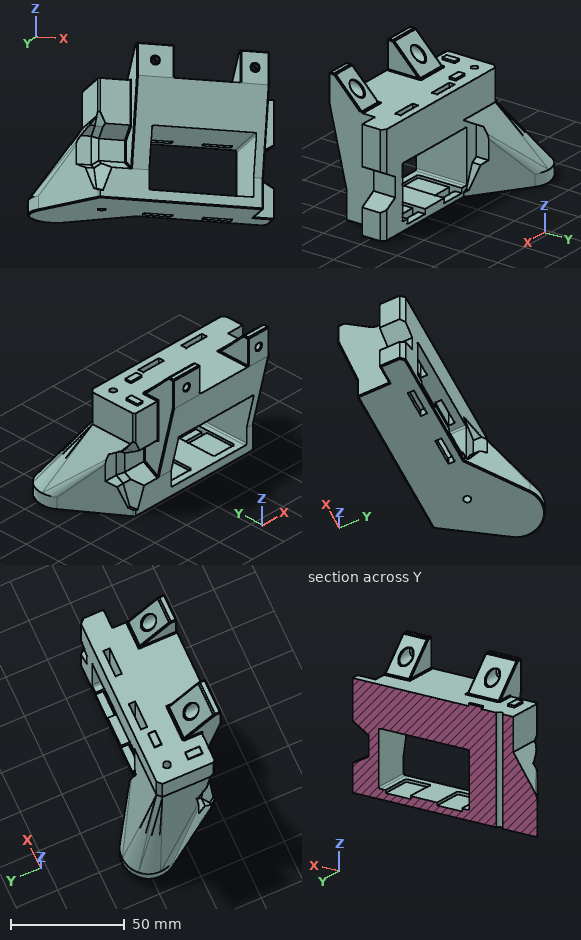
import cadquery as cq
import math

BLOCK_HEIGHT = 54.2
BLOCK_DEPTH = 27.5
FRONT_CORNER = 1.0
BACK_CORNER = 2.0
BRACKET_LEFT = 15.0
BRACKET_RIGHT = 75.5
TAB_RIGHT = 84.88
TAB_FRONT = 15.7
BOTTOM_CHAMFER = 0.5

BRACKET_FRONT = -9.4
BRACKET_FOOT_Z = 14.2
BRACKET_ROOT_Y = 12.0
BRACKET_CHAMFER = 0.5
LUG_TOP = 69.1
LUG_TOP_THICKNESS = 3.2
LUG_FLAT_BACK = BRACKET_FRONT + LUG_TOP_THICKNESS
LUG_ROOT_Y = LUG_FLAT_BACK + LUG_TOP - BLOCK_HEIGHT
LUG_SPANS = ((BRACKET_LEFT, 32.0), (62.3, BRACKET_RIGHT))
ROOT_FLARE = 0.5
LUG_HOLE_XS = (23.35, 68.9)
LUG_HOLE_Z = 61.55
LUG_HOLE_D = 3.4
LUG_COUNTERSINK_D = 4.23
LUG_COUNTERBORE_D = 6.2
COUNTERBORE_RIM = 0.4

NOSE_LEFT = -21.2
NOSE_RADIUS = 12.65
NOSE_BACK = 48.77
NOSE_RIM_Z = 6.7
NOSE_TOP_Z = 37.5
NOSE_RIGHT = 25.6

NOTCH_DEPTH = 8.4
NOTCH_INNER_LOW = 18.9
NOTCH_INNER_HIGH = 28.9
NOTCH_SLOPE = math.tan(math.radians(30))
NOTCH_MOUTH_LOW = NOTCH_INNER_LOW - NOTCH_DEPTH * NOTCH_SLOPE
NOTCH_MOUTH_HIGH = NOTCH_INNER_HIGH + NOTCH_DEPTH * NOTCH_SLOPE

CORNER_GROWTH = 2.65
CORNER_FLOOR_Y = 6.8
CORNER_FLOOR_DRIFT = 0.77
CORNER_STEP_Y = 2.8
CORNER_STEP_DRIFT = 1.3
CORNER_CEILING_Y = 5.2
CORNER_CEILING_DRIFT = 1.28
CORNER_STEEP = 2.55
CORNER_UPPER_STEEP = 1.33
CORNER_STEP_SLOPE = 0.5
CORNER_TAPER_END = 6.6

RELIEF_LEFT = 16.2
RELIEF_LOW = 16.4
RELIEF_HIGH = 31.9
RELIEF_LEDGE_X = 19.2
RELIEF_STEP_X = 23.6
RELIEF_LEDGE_Z = RELIEF_LOW - (RELIEF_LEDGE_X - RELIEF_LEFT) * NOTCH_SLOPE
RELIEF_STEP_Z = RELIEF_LEDGE_Z - (RELIEF_STEP_X - RELIEF_LEDGE_X) * CORNER_STEEP
RELIEF_FOOT_Z = RELIEF_STEP_Z - (NOSE_RIGHT - RELIEF_STEP_X) * CORNER_STEP_SLOPE
RELIEF_PEAK_Z = RELIEF_HIGH + (NOSE_RIGHT - RELIEF_LEFT) * NOTCH_SLOPE

WINDOW_LEFT = 23.35
WINDOW_RIGHT = 71.0
WINDOW_LOW = 5.2
WINDOW_HIGH = 33.3
WINDOW_RADIUS = 0.8

SLOT_LENGTH = 13.0
SLOT_SPACING = 27.2
FIRST_SLOT_X = (WINDOW_LEFT + WINDOW_RIGHT - SLOT_SPACING - SLOT_LENGTH) / 2
SLOT_XS = (FIRST_SLOT_X, FIRST_SLOT_X + SLOT_SPACING)
SLOT_FRONT = 20.7
SLOT_BACK = 23.7
RECESS_FRONT = 3.75
RECESS_DEPTH = 1.4
RECESS_RADIUS = 0.8
STRAP_EXIT_DEPTH = 2.45

PIN_X = 7.37
PIN_Y = 20.05
PIN_HOLE_D = 3.4
PEG_LENGTH = 6.85
PEG_WIDTH = 3.35
PEG_HEIGHT = 0.95
BACK_PEG_X = 20.3
FRONT_PEG_Y = 7.1

FAR = 200.0
MARGIN = 0.1
OPEN_FRONT_Y = 2 * BRACKET_FRONT


def box(x0, x1, y0, y1, z0, z1):
    return cq.Workplane("XY").box(x1 - x0, y1 - y0, z1 - z0, centered=False).translate((x0, y0, z0))


def prism_x(profile, x0, x1):
    """Extrude a (y, z) profile from x0 to x1."""
    return cq.Workplane("YZ", origin=(x0, 0, 0)).polyline(profile).close().extrude(x1 - x0)


def prism_y(profile, y0, y1):
    """Extrude an (x, z) profile from y0 to y1."""
    return cq.Workplane("XZ", origin=(0, y0, 0)).polyline(profile).close().extrude(y0 - y1)


def flat_face(*points):
    """Planar face bounded by straight lines through the points."""
    return cq.Face.makeFromWires(cq.Wire.makePolygon([cq.Vector(p) for p in points], close=True))


def make_block():
    outline = [
        (FRONT_CORNER, 0),
        (BRACKET_RIGHT - BRACKET_CHAMFER, 0),
        (BRACKET_RIGHT, BRACKET_CHAMFER),
        (BRACKET_RIGHT, TAB_FRONT),
        (TAB_RIGHT, TAB_FRONT),
        (TAB_RIGHT, BLOCK_DEPTH - BACK_CORNER),
        (TAB_RIGHT - BACK_CORNER, BLOCK_DEPTH),
        (BACK_CORNER, BLOCK_DEPTH),
        (0, BLOCK_DEPTH - BACK_CORNER),
        (0, FRONT_CORNER),
    ]
    return cq.Workplane("XY").polyline(outline).close().extrude(BLOCK_HEIGHT)


def make_nose():
    """Convex hull of a low round disc and the left end of the block."""
    cx = NOSE_LEFT + NOSE_RADIUS
    cy = NOSE_BACK - NOSE_RADIUS
    corners = [
        (0, FRONT_CORNER),
        (0, BLOCK_DEPTH - BACK_CORNER),
        (BACK_CORNER, BLOCK_DEPTH),
        (NOSE_RIGHT, BLOCK_DEPTH),
    ]

    def tangent_angle(corner, side):
        """Angle, seen from the disc centre, of the tangent point of a line through a corner."""
        dx = corner[0] - cx
        dy = corner[1] - cy
        return math.atan2(dy, dx) + side * math.acos(NOSE_RADIUS / math.hypot(dx, dy))

    def on_disc(angle):
        x = cx + NOSE_RADIUS * math.cos(angle)
        y = cy + NOSE_RADIUS * math.sin(angle)
        return (x, y, NOSE_RIM_Z)

    front = tangent_angle(corners[0], -1) % (2 * math.pi)
    back = tangent_angle(corners[-1], 1)
    touch = [front, math.pi, math.radians(135), math.radians(90), back]

    tops = [(x, y, NOSE_TOP_Z) for x, y in corners]
    rims = [(x, y, NOSE_RIM_Z) for x, y in corners]
    arcs = []
    faces = []
    for start, end, top in zip(touch, touch[1:], tops):
        arc_points = [cq.Vector(on_disc(angle)) for angle in (start, (start + end) / 2, end)]
        arc = cq.Edge.makeThreePointArc(*arc_points)
        arcs.append(arc)
        arc_wire = cq.Wire.assembleEdges([arc])
        faces.append(cq.occ_impl.shapes.loft(arc_wire, cq.Vertex.makeVertex(*top), ruled=True))
    for angle, top, next_top in zip(touch[1:-1], tops, tops[1:]):
        faces.append(flat_face(on_disc(angle), top, next_top))

    front_rim = on_disc(front)
    back_rim = on_disc(back)
    chain = [cq.Vector(p) for p in (back_rim, rims[-1], rims[0], front_rim)]
    inner = [cq.Edge.makeLine(p, q) for p, q in zip(chain, chain[1:])]
    outline = cq.Wire.assembleEdges(arcs + inner)
    faces.append(cq.Face.makeFromWires(outline))
    faces.append(flat_face(front_rim, rims[0], tops[0]))
    faces.append(flat_face(back_rim, tops[-1], rims[-1]))
    faces.append(flat_face(rims[0], rims[-1], tops[-1], tops[0]))
    faces.append(flat_face(*tops))
    slopes = cq.Solid.makeSolid(cq.Shell.makeShell(faces))
    rim = cq.Solid.extrudeLinear(outline, [], cq.Vector(0, 0, -NOSE_RIM_Z))
    return cq.Workplane(obj=rim).union(cq.Workplane(obj=slopes))


def make_bracket():
    profile = [
        (0, BRACKET_FOOT_Z),
        (BRACKET_FRONT, BLOCK_HEIGHT),
        (BRACKET_ROOT_Y, BLOCK_HEIGHT),
        (BRACKET_ROOT_Y, BRACKET_FOOT_Z),
    ]
    slab = prism_x(profile, BRACKET_LEFT, BRACKET_RIGHT)
    leaning_edges = cq.selectors.BoxSelector(
        (-FAR, BRACKET_FRONT, BRACKET_FOOT_Z + MARGIN),
        (FAR, -MARGIN, BLOCK_HEIGHT - MARGIN),
    )
    return slab.faces("<X or >X").edges(leaning_edges).chamfer(BRACKET_CHAMFER)


def make_lug(x0, x1):
    """Upright plate with a 45 degree back, standing on top of the bracket."""
    profile = [
        (BRACKET_FRONT, BLOCK_HEIGHT),
        (BRACKET_FRONT, LUG_TOP),
        (LUG_FLAT_BACK, LUG_TOP),
        (LUG_ROOT_Y, BLOCK_HEIGHT),
    ]
    lug = prism_x(profile, x0, x1).edges("not <Z").chamfer(BRACKET_CHAMFER)
    flare = (
        cq.Workplane("XY", origin=(0, 0, BLOCK_HEIGHT))
        .moveTo(x0 - ROOT_FLARE, OPEN_FRONT_Y)
        .lineTo(x1 + ROOT_FLARE, OPEN_FRONT_Y)
        .lineTo(x1 + ROOT_FLARE, LUG_ROOT_Y + ROOT_FLARE)
        .lineTo(x0 - ROOT_FLARE, LUG_ROOT_Y + ROOT_FLARE)
        .close()
        .extrude(ROOT_FLARE, taper=45)
    )
    limits = box(BRACKET_LEFT, BRACKET_RIGHT, BRACKET_FRONT, FAR, 0, FAR)
    return lug.union(flare.intersect(limits))


def make_side_flare():
    """45 degree flare between the left wall of the bracket and the block beside it."""
    block_profile = [
        (BRACKET_ROOT_Y, BLOCK_HEIGHT),
        (0, BLOCK_HEIGHT),
        (0, NOTCH_MOUTH_HIGH),
        (NOTCH_DEPTH, NOTCH_INNER_HIGH),
        (NOTCH_DEPTH, NOTCH_INNER_LOW),
        (0, NOTCH_MOUTH_LOW),
        (0, 0),
        (BRACKET_ROOT_Y, 0),
    ]
    start_x = BRACKET_LEFT - ROOT_FLARE
    side = cq.Workplane("YZ", origin=(start_x, 0, 0)).polyline(block_profile).close()
    flare = side.extrude(ROOT_FLARE, taper=-45)
    bracket_side = [
        (0, BRACKET_FOOT_Z),
        (BRACKET_FRONT, BLOCK_HEIGHT),
        (BRACKET_FRONT, LUG_TOP),
        (LUG_FLAT_BACK, LUG_TOP),
        (LUG_ROOT_Y, BLOCK_HEIGHT),
        (BRACKET_ROOT_Y, BLOCK_HEIGHT),
        (BRACKET_ROOT_Y, BRACKET_FOOT_Z),
    ]
    return flare.intersect(prism_x(bracket_side, start_x, BRACKET_LEFT))


def cut_front_notch(body):
    """Trapezoid notch in the front wall, ending at the left wall of the bracket."""
    profile = [
        (NOTCH_DEPTH, NOTCH_INNER_LOW),
        (NOTCH_DEPTH, NOTCH_INNER_HIGH),
        (-NOTCH_DEPTH, 2 * NOTCH_MOUTH_HIGH - NOTCH_INNER_HIGH),
        (-NOTCH_DEPTH, 2 * NOTCH_MOUTH_LOW - NOTCH_INNER_LOW),
    ]
    return body.cut(prism_x(profile, 0, BRACKET_LEFT))


def cut_tab_notch(body):
    """The same trapezoid notch in the right end of the tab."""
    inner_x = TAB_RIGHT - NOTCH_DEPTH
    outer_x = TAB_RIGHT + NOTCH_DEPTH
    profile = [
        (inner_x, NOTCH_INNER_LOW),
        (inner_x, NOTCH_INNER_HIGH),
        (outer_x, 2 * NOTCH_MOUTH_HIGH - NOTCH_INNER_HIGH),
        (outer_x, 2 * NOTCH_MOUTH_LOW - NOTCH_INNER_LOW),
    ]
    return body.cut(prism_y(profile, TAB_FRONT, BLOCK_DEPTH))


def corner_notch_section(x):
    """(y, z) section of the corner notch at x; its walls close in as x grows.

    The back wall closes in at 45 degrees.
    """
    back = NOTCH_DEPTH + CORNER_GROWTH - x
    growth = (CORNER_GROWTH - x) * NOTCH_SLOPE
    low = NOTCH_INNER_LOW - growth
    high = NOTCH_INNER_HIGH + growth
    floor_y = CORNER_FLOOR_Y - CORNER_FLOOR_DRIFT * x
    floor_z = low - (back - floor_y) * NOTCH_SLOPE
    ceiling_y = CORNER_CEILING_Y - CORNER_CEILING_DRIFT * x
    ceiling_z = high + (back - ceiling_y) * NOTCH_SLOPE
    step_y = CORNER_STEP_Y - CORNER_STEP_DRIFT * x
    step_z = floor_z - (floor_y - step_y) * CORNER_STEEP
    return [
        (back, low),
        (back, high),
        (ceiling_y, ceiling_z),
        (OPEN_FRONT_Y, ceiling_z + (ceiling_y - OPEN_FRONT_Y) * CORNER_UPPER_STEEP),
        (OPEN_FRONT_Y, step_z - (step_y - OPEN_FRONT_Y) * CORNER_STEP_SLOPE),
        (step_y, step_z),
        (floor_y, floor_z),
    ]


def cut_corner_notch(body):
    """Wider notch across the nose that tapers into the front notch at the block's corner."""
    nose_part = prism_x(corner_notch_section(0), NOSE_LEFT, 0)
    rings = []
    for x in (0, CORNER_TAPER_END):
        points = [cq.Vector(x, y, z) for y, z in corner_notch_section(x)]
        rings.append(cq.Wire.makePolygon(points, close=True))
    taper = cq.Workplane(obj=cq.Solid.makeLoft(rings, True))
    return body.cut(nose_part).cut(taper)


def cut_back_relief(body):
    """Relief through the nose wall behind the window."""
    profile = [
        (RELIEF_LEFT, RELIEF_LOW),
        (RELIEF_LEFT, RELIEF_HIGH),
        (NOSE_RIGHT, RELIEF_PEAK_Z),
        (NOSE_RIGHT, RELIEF_FOOT_Z),
        (RELIEF_STEP_X, RELIEF_STEP_Z),
        (RELIEF_LEDGE_X, RELIEF_LEDGE_Z),
    ]
    return body.cut(prism_y(profile, BLOCK_DEPTH, NOSE_BACK))


def cut_window(body):
    window = box(WINDOW_LEFT, WINDOW_RIGHT, -FAR, FAR, WINDOW_LOW, WINDOW_HIGH)
    return body.cut(window.edges("|Y").fillet(WINDOW_RADIUS))


def cut_strap_slot(body, x0):
    """Slot down through the block, with a floor recess before it and a strap exit behind it."""
    x1 = x0 + SLOT_LENGTH
    slot = box(x0, x1, SLOT_FRONT, SLOT_BACK, 0, FAR)
    recess = box(x0, x1, RECESS_FRONT, SLOT_BACK, WINDOW_LOW - RECESS_DEPTH, WINDOW_HIGH)
    recess = recess.edges("|Z and <Y").fillet(RECESS_RADIUS)
    strap_exit = box(x0, x1, SLOT_BACK, BLOCK_DEPTH, WINDOW_LOW - STRAP_EXIT_DEPTH, WINDOW_HIGH)
    return body.cut(slot).cut(recess).cut(strap_exit)


def cut_lug_hole(body, x):
    """Screw hole, countersunk in front, with a rimmed counterbore from the sloping back."""
    start = cq.Workplane("XZ", origin=(x, BRACKET_FRONT, LUG_HOLE_Z))
    hole = start.circle(LUG_HOLE_D / 2).extrude(-LUG_TOP_THICKNESS)
    sink_depth = (LUG_COUNTERSINK_D - LUG_HOLE_D) / 2
    sink = start.circle(LUG_COUNTERSINK_D / 2).extrude(-sink_depth, taper=45)
    bore = start.workplane(offset=-LUG_TOP_THICKNESS).circle(LUG_COUNTERBORE_D / 2).extrude(-FAR)
    body = body.cut(hole).cut(sink).cut(bore)
    reach = LUG_COUNTERBORE_D / 2 + MARGIN
    rim = cq.selectors.BoxSelector(
        (x - reach, LUG_FLAT_BACK + MARGIN, LUG_HOLE_Z - reach),
        (x + reach, FAR, LUG_HOLE_Z + reach),
        boundingbox=True,
    )
    return body.edges(rim).chamfer(COUNTERBORE_RIM)


def add_pegs(body):
    top = cq.Workplane("XY", origin=(0, 0, BLOCK_HEIGHT))
    back_peg = top.center(BACK_PEG_X, PIN_Y).rect(PEG_LENGTH, PEG_WIDTH).extrude(PEG_HEIGHT)
    front_peg = top.center(PIN_X, FRONT_PEG_Y).rect(PEG_WIDTH, PEG_LENGTH).extrude(PEG_HEIGHT)
    return body.union(back_peg).union(front_peg)


def cut_pin_hole(body):
    hole = cq.Workplane("XY").center(PIN_X, PIN_Y).circle(PIN_HOLE_D / 2).extrude(BLOCK_HEIGHT)
    return body.cut(hole)


def make_part():
    body = make_block().union(make_nose())
    body = body.faces("<Z").edges().chamfer(BOTTOM_CHAMFER)
    body = cut_corner_notch(cut_front_notch(body))
    body = body.union(make_bracket())
    for x0, x1 in LUG_SPANS:
        body = body.union(make_lug(x0, x1))
    body = body.union(make_side_flare())
    body = cut_tab_notch(body)
    body = cut_back_relief(body)
    body = cut_window(body)
    for x0 in SLOT_XS:
        body = cut_strap_slot(body, x0)
    for x in LUG_HOLE_XS:
        body = cut_lug_hole(body, x)
    body = cut_pin_hole(body)
    return add_pegs(body)


result = make_part()